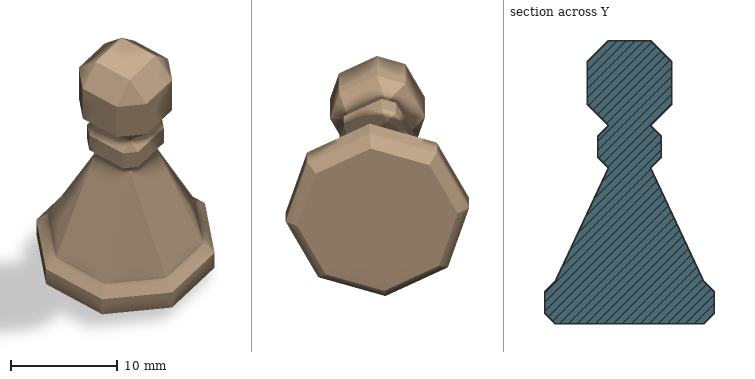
import cadquery as cq
import math

base_width = 16.0
base_height = 4.0
base_chamfer = 1.0
stem_height = 32.0 / 3.0
neck_width = 4.0
collar_height = 4.0
collar_chamfer = 1.0
head_chamfer = 2.0

stem_width = base_width - 2 * base_chamfer
collar_width = neck_width + 2 * collar_chamfer
head_size = neck_width + 2 * head_chamfer
stem_bottom = base_height
collar_bottom = stem_bottom + stem_height
head_bottom = collar_bottom + collar_height


def make_base():
    """Regular octagonal disc, flats on X and Y, chamfered at both ends."""
    square = cq.Workplane("XY").rect(base_width, base_width).extrude(base_height)
    octagon = square.intersect(square.rotate((0, 0, 0), (0, 0, 1), 45))
    return octagon.faces("<Z or >Z").chamfer(base_chamfer)


def square_frustum(bottom_width, top_width):
    """Square frustum spanning the stem height."""
    return (
        cq.Workplane("XY")
        .workplane(offset=stem_bottom)
        .rect(bottom_width, bottom_width)
        .workplane(offset=stem_height)
        .rect(top_width, top_width)
        .loft(ruled=True)
    )


def make_stem():
    """Taper from an octagon to a square; each diagonal face ends at a corner of the square."""
    neck_diagonal = neck_width * math.sqrt(2)
    straight_sides = square_frustum(stem_width, neck_width)
    diagonal_sides = square_frustum(stem_width, neck_diagonal).rotate((0, 0, 0), (0, 0, 1), 45)
    return straight_sides.intersect(diagonal_sides)


def chamfered_block(width, height, chamfer, bottom):
    """Square block centred on Z with every edge chamfered."""
    return (
        cq.Workplane("XY")
        .workplane(offset=bottom)
        .rect(width, width)
        .extrude(height)
        .edges()
        .chamfer(chamfer)
    )


collar = chamfered_block(collar_width, collar_height, collar_chamfer, collar_bottom)
head = chamfered_block(head_size, head_size, head_chamfer, head_bottom)

result = make_base().union(make_stem()).union(collar).union(head)